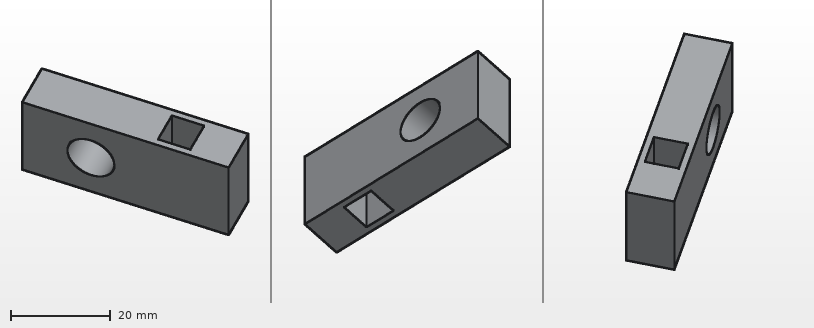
import cadquery as cq

length = 45.0
width = 10.0
height = 20.0

bore_diameter = 10.2
bore_from_left = 15.0

square_side = 7.0
square_from_left = 32.5


def block():
    """Plain block centred on the origin."""
    return cq.Workplane("XY").box(length, width, height)


def round_bore():
    """Cylinder along Y that cuts through the full width."""
    return (
        cq.Workplane("XZ")
        .center(bore_from_left - length / 2, 0)
        .circle(bore_diameter / 2)
        .extrude(width / 2, both=True)
    )


def square_hole():
    """Square prism along Z that cuts through the full height."""
    return (
        cq.Workplane("XY")
        .center(square_from_left - length / 2, 0)
        .rect(square_side, square_side)
        .extrude(height / 2, both=True)
    )


result = block().cut(round_bore()).cut(square_hole())